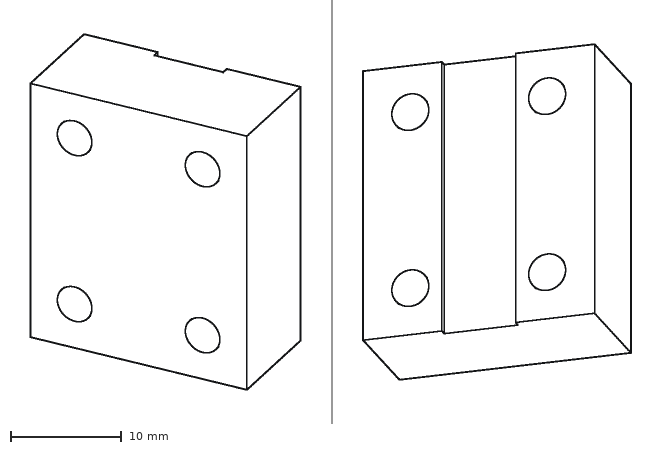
import cadquery as cq

width = 22.0
depth = 10.6
height = 26.0

hole_diameter = 3.5
hole_spacing_x = 13.0
hole_spacing_z = 17.0

channel_width = 7.0
channel_depth = 0.7


def make_block():
    return cq.Workplane("XY").box(width, depth, height)


def make_holes():
    return (
        cq.Workplane("XZ")
        .rarray(hole_spacing_x, hole_spacing_z, 2, 2)
        .circle(hole_diameter / 2)
        .extrude(depth, both=True)
    )


def make_channel():
    return (
        cq.Workplane("XY")
        .box(channel_width, 2 * channel_depth, height)
        .translate((0, depth / 2, 0))
    )


result = make_block().cut(make_holes()).cut(make_channel())